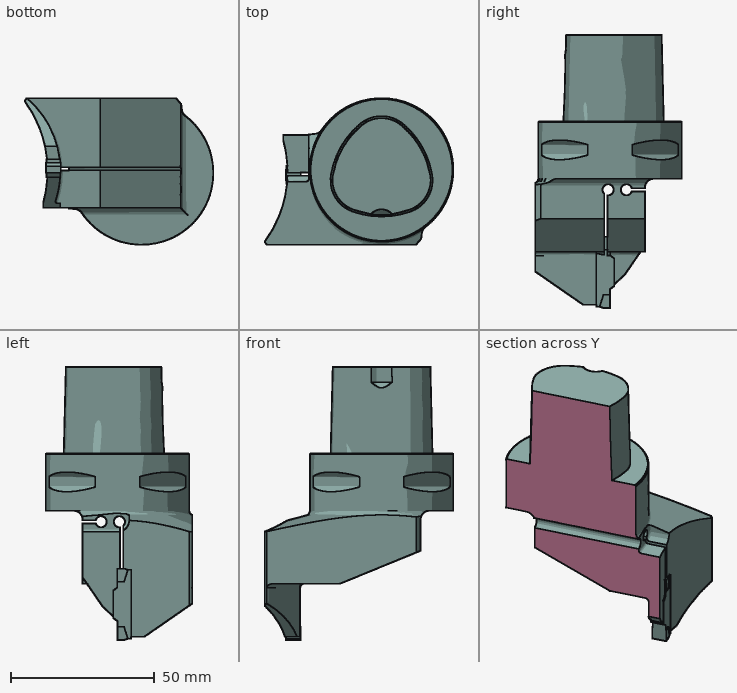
import cadquery as cq
import math


OVERALL_HEIGHT = 95

SHANK_HEIGHT = 30.0
LOBE_REACH = 18.7
FLANK_REACH = 16.2
LOBE_OFFSET = 7.1
SHANK_TAPER = 1.4

NOTCH_RADIUS = 4.75
NOTCH_Y = -18.4
NOTCH_DEPTH = 5.3

FLANGE_RADIUS = 25.0
FLANGE_HEIGHT = 20.0
FLANGE_CHAMFER = 0.4
GROOVE_Z = -10.0
GROOVE_FLOOR_DISTANCE = 22.2
GROOVE_FLOOR_HALF_WIDTH = 1.8
GROOVE_MOUTH_HALF_WIDTH = 3.4
GROOVE_CORNER_RADIUS = 0.7

BODY_FRONT_Y = -26.0
BODY_BACK_Y = 12.2
BODY_RIGHT_X = 13.6
BODY_BOTTOM_Z = -45.4
BODY_LEFT_X = -40.7
LEFT_CORNER_RUN = 0.8
LEFT_CORNER_RISE = 1.0
RIGHT_CORNER_RUN = 1.6
RIGHT_CORNER_RISE = 1.9
LOWER_SLOPE_X = -14.4
LOWER_SLOPE_END_Z = -33.9
UNDER_FLANGE_FILLET = 3.0

SHOULDER_ANGLE = math.radians(15)
SHOULDER_Z = -21.2
SHOULDER_FILLET = 1.5
SHOULDER_RADIUS = 57

CLEARANCE_Y = -0.8
OUTER_FACE_X = -32.7
OUTER_FACE_RADIUS = 40.8
OUTER_FLAT_X = -34.2
INNER_FACE_X = -28.2
INNER_FACE_RADIUS = 33.25

LEG_BOTTOM_Z = -63.8
LEG_BOTTOM_Y = -9.3
LEG_FRONT_Z = -52.25
LEG_FILLET = 1.3
JAW_TIP_Z = -56.7
JAW_BEND_Y = 5.1
JAW_BEND_Z = -53.4
JAW_CORNER_Z = -43.1

STEP_Z = -27.4
STEP_WALL_X = -25.3
STEP_WALL_FILLET = 1.0
STEP_FRONT_Y = -4.1
RELIEF_Z = -23.8
RELIEF_RADIUS = 1.9
BACK_RELIEF_Y = 5.7
FRONT_RELIEF_Y = -0.7
SLIT_WIDTH = 1.0
CLAMP_SLIT_Y = -1.4

INSERT_LENGTH = 24.9
INSERT_BOTTOM_Z = SHANK_HEIGHT - OVERALL_HEIGHT
INSERT_MID_Z = INSERT_BOTTOM_Z + INSERT_LENGTH / 2
INSERT_BASE_Y = -4.75
INSERT_LEFT_X = -33.25
INSERT_RIGHT_X = -28.0
HEAD_OVERHANG = 0.2
HEAD_LENGTH = 4.7
HEAD_DEPTH = 2.3
HEAD_TIP_DEPTH = 3.6
END_RELIEF = 0.5
RIDGE_HEIGHT = 1.5
RIDGE_HALF_LENGTH = 4.75
RIDGE_FOOT_HALF_LENGTH = 5.9

CUT_SIZE = 114
CUT_MARGIN = 0.95


def polar(radius, degrees):
    angle = math.radians(degrees)
    return (radius * math.cos(angle), radius * math.sin(angle))


def prism_along_x(points, x_start, x_end):
    """Prism with a (Y, Z) outline."""
    outline = cq.Workplane("YZ", origin=(x_start, 0, 0)).polyline(points).close()
    return outline.extrude(x_end - x_start)


def prism_along_y(points, y_start, y_end):
    """Prism with an (X, Z) outline."""
    outline = cq.Workplane("XZ", origin=(0, y_start, 0)).polyline(points).close()
    return outline.extrude(y_start - y_end)


def box_between(low, high):
    size = [b - a for a, b in zip(low, high)]
    return cq.Workplane("XY").box(*size, centered=False).translate(low)


def arc_x(apex_x, radius, y):
    """X of a groove-clearance face at the given Y."""
    return apex_x - radius + math.sqrt(radius**2 - (y - CLEARANCE_Y) ** 2)


def arc_y(apex_x, radius, x):
    """Upper Y of a groove-clearance face at the given X."""
    return CLEARANCE_Y + math.sqrt(radius**2 - (x - apex_x + radius) ** 2)



def make_shank():
    lobe_radius = LOBE_REACH - LOBE_OFFSET

    reach_gap = FLANK_REACH - lobe_radius
    flank_offset = (LOBE_OFFSET**2 - reach_gap**2) / (2 * reach_gap - LOBE_OFFSET)
    rise = LOBE_OFFSET + flank_offset * math.sin(math.radians(30))
    run = flank_offset * math.cos(math.radians(30))
    normal = math.degrees(math.atan2(rise, run))
    join_x, join_y = polar(lobe_radius, normal)
    join_y += LOBE_OFFSET
    join_radius = math.hypot(join_x, join_y)
    half_lobe = 90 - math.degrees(math.atan2(join_y, join_x))

    outline = cq.Workplane("XY").moveTo(*polar(join_radius, 90 - half_lobe))
    for lobe in (90, 210, 330):
        outline = outline.threePointArc(polar(LOBE_REACH, lobe), polar(join_radius, lobe + half_lobe))
        outline = outline.threePointArc(
            polar(FLANK_REACH, lobe + 60), polar(join_radius, lobe + 120 - half_lobe)
        )
    shank = outline.close().extrude(SHANK_HEIGHT, taper=SHANK_TAPER)
    return shank.cut(make_notch())


def make_notch():
    """Drilled hole with a 90 degree point, open to the side of the shank."""
    shoulder_z = SHANK_HEIGHT - NOTCH_DEPTH
    profile = [
        (0, SHANK_HEIGHT),
        (NOTCH_RADIUS, SHANK_HEIGHT),
        (NOTCH_RADIUS, shoulder_z),
        (0, shoulder_z - NOTCH_RADIUS),
    ]
    drill = cq.Workplane("XZ").polyline(profile).close().revolve(360, (0, 0), (0, 1))
    return drill.translate((0, NOTCH_Y, 0))



def make_flange():
    flange = cq.Workplane("XY").circle(FLANGE_RADIUS).extrude(-FLANGE_HEIGHT)
    flange = flange.faces(">Z").chamfer(FLANGE_CHAMFER)
    depth = FLANGE_RADIUS - GROOVE_FLOOR_DISTANCE
    flare = (GROOVE_MOUTH_HALF_WIDTH - GROOVE_FLOOR_HALF_WIDTH) / depth
    cut_end = FLANGE_RADIUS + CUT_MARGIN
    cut_half_width = GROOVE_FLOOR_HALF_WIDTH + flare * (cut_end - GROOVE_FLOOR_DISTANCE)
    section = [
        (GROOVE_FLOOR_DISTANCE, GROOVE_Z - GROOVE_FLOOR_HALF_WIDTH),
        (cut_end, GROOVE_Z - cut_half_width),
        (cut_end, GROOVE_Z + cut_half_width),
        (GROOVE_FLOOR_DISTANCE, GROOVE_Z + GROOVE_FLOOR_HALF_WIDTH),
    ]
    groove = prism_along_y(section, -FLANGE_RADIUS, FLANGE_RADIUS)
    groove = groove.faces("<X").edges("|Y").fillet(GROOVE_CORNER_RADIUS)
    for turn in (45, 135, 225, 315):
        flange = flange.cut(groove.rotate((0, 0, 0), (0, 0, 1), turn))
    return flange



def make_shoulder():
    """Everything below the fillet and cone that run out from the flange."""
    tangent = SHOULDER_FILLET * math.tan((math.pi / 2 - SHOULDER_ANGLE) / 2)
    start = (FLANGE_RADIUS, SHOULDER_Z + tangent)
    end = (
        FLANGE_RADIUS + tangent * math.cos(SHOULDER_ANGLE),
        SHOULDER_Z - tangent * math.sin(SHOULDER_ANGLE),
    )
    sweep = math.pi + (math.pi / 2 - SHOULDER_ANGLE) / 2
    centre = (FLANGE_RADIUS + SHOULDER_FILLET, start[1])
    middle = (
        centre[0] + SHOULDER_FILLET * math.cos(sweep),
        centre[1] + SHOULDER_FILLET * math.sin(sweep),
    )
    cone_drop = (SHOULDER_RADIUS - FLANGE_RADIUS) * math.tan(SHOULDER_ANGLE)
    profile = (
        cq.Workplane("XZ")
        .moveTo(0, -FLANGE_HEIGHT)
        .lineTo(FLANGE_RADIUS, -FLANGE_HEIGHT)
        .lineTo(*start)
        .threePointArc(middle, end)
        .lineTo(SHOULDER_RADIUS, SHOULDER_Z - cone_drop)
        .lineTo(SHOULDER_RADIUS, LEG_BOTTOM_Z)
        .lineTo(0, LEG_BOTTOM_Z)
        .close()
    )
    return profile.revolve(360, (0, 0), (0, 1))


def make_plan_prism():
    """Outline of the body seen along Z, over its full height."""
    corner_y = arc_y(OUTER_FACE_X, OUTER_FACE_RADIUS, OUTER_FLAT_X)
    arc_start_y = BODY_FRONT_Y + LEFT_CORNER_RISE
    outline = (
        cq.Workplane("XY")
        .moveTo(arc_x(OUTER_FACE_X, OUTER_FACE_RADIUS, arc_start_y), arc_start_y)
        .threePointArc((OUTER_FACE_X, CLEARANCE_Y), (OUTER_FLAT_X, corner_y))
        .lineTo(OUTER_FLAT_X, BODY_BACK_Y)
        .lineTo(BODY_RIGHT_X, BODY_BACK_Y)
        .lineTo(BODY_RIGHT_X, BODY_FRONT_Y + RIGHT_CORNER_RISE)
        .lineTo(BODY_RIGHT_X - RIGHT_CORNER_RUN, BODY_FRONT_Y)
        .lineTo(BODY_LEFT_X + LEFT_CORNER_RUN, BODY_FRONT_Y)
        .close()
    )
    return outline.extrude(LEG_BOTTOM_Z)


def make_body():
    side = [
        (-SHOULDER_RADIUS, -FLANGE_HEIGHT),
        (-SHOULDER_RADIUS, BODY_BOTTOM_Z),
        (LOWER_SLOPE_X, BODY_BOTTOM_Z),
        (BODY_RIGHT_X, LOWER_SLOPE_END_Z),
        (BODY_RIGHT_X, -FLANGE_HEIGHT),
    ]
    block = prism_along_y(side, -CUT_SIZE, CUT_SIZE).intersect(make_plan_prism())
    plate = box_between((-CUT_SIZE, -CUT_SIZE, -FLANGE_HEIGHT), (CUT_SIZE, CUT_SIZE, 0))
    block = block.union(plate)
    for wall in ((BODY_RIGHT_X, 0, -FLANGE_HEIGHT), (0, BODY_BACK_Y, -FLANGE_HEIGHT)):
        block = block.edges(cq.NearestToPointSelector(wall)).fillet(UNDER_FLANGE_FILLET)
    return block.intersect(make_shoulder())


def jaw_underside_y(z):
    """Y of the jaw's sloping underside at the given height."""
    slope = (BODY_BACK_Y - JAW_BEND_Y) / (JAW_CORNER_Z - JAW_BEND_Z)
    return JAW_BEND_Y + slope * (z - JAW_BEND_Z)


def make_leg():
    """Blade between the two clearance faces, trimmed to its side outline."""
    side = [
        (BODY_FRONT_Y, BODY_BOTTOM_Z),
        (BODY_FRONT_Y, LEG_FRONT_Z),
        (LEG_BOTTOM_Y, LEG_BOTTOM_Z),
        (INSERT_BASE_Y, LEG_BOTTOM_Z),
        (INSERT_BASE_Y, JAW_TIP_Z),
        (RIDGE_HEIGHT, JAW_TIP_Z),
        (JAW_BEND_Y, JAW_BEND_Z),
        (jaw_underside_y(BODY_BOTTOM_Z), BODY_BOTTOM_Z),
    ]
    inner = (
        cq.Workplane("XY", origin=(INNER_FACE_X - INNER_FACE_RADIUS, CLEARANCE_Y, 0))
        .circle(INNER_FACE_RADIUS)
        .extrude(LEG_BOTTOM_Z)
    )
    blade = prism_along_x(side, -SHOULDER_RADIUS, BODY_RIGHT_X)
    return blade.intersect(make_plan_prism()).intersect(inner)


def add_leg(base):
    holder = base.union(make_leg())
    root = cq.NearestToPointSelector((INNER_FACE_X, CLEARANCE_Y, BODY_BOTTOM_Z))
    return holder.edges("%CIRCLE").edges(root).fillet(LEG_FILLET)


def cut_jaw_corner(holder):
    """Carry the jaw's sloping underside on up to its back face."""
    corner = [
        (BODY_BACK_Y, JAW_CORNER_Z),
        (BODY_BACK_Y, BODY_BOTTOM_Z),
        (jaw_underside_y(BODY_BOTTOM_Z), BODY_BOTTOM_Z),
    ]
    return holder.cut(prism_along_x(corner, OUTER_FLAT_X, INNER_FACE_X))


def cut_step(holder):
    """Step above the jaw; the rounding up to its front wall starts at Y = 0."""
    step = box_between(
        (-SHOULDER_RADIUS, STEP_FRONT_Y, STEP_Z), (STEP_WALL_X, CUT_SIZE, -FLANGE_HEIGHT)
    )
    step = step.edges("<Y and <Z").fillet(-STEP_FRONT_Y)
    step = step.edges(">X and <Z").fillet(STEP_WALL_FILLET)
    return holder.cut(step)


def cut_slits(holder):
    """Relief holes and slits that free the clamping jaw; both run through along X."""
    holes = (
        cq.Workplane("YZ", origin=(-CUT_SIZE, 0, 0))
        .pushPoints([(BACK_RELIEF_Y, RELIEF_Z), (FRONT_RELIEF_Y, RELIEF_Z)])
        .circle(RELIEF_RADIUS)
        .extrude(2 * CUT_SIZE)
    )
    half = SLIT_WIDTH / 2
    back_slit = box_between(
        (-CUT_SIZE, BACK_RELIEF_Y, RELIEF_Z - half), (CUT_SIZE, CUT_SIZE, RELIEF_Z + half)
    )
    clamp_slit = box_between(
        (-CUT_SIZE, CLAMP_SLIT_Y - half, -CUT_SIZE), (CUT_SIZE, CLAMP_SLIT_Y + half, RELIEF_Z)
    )
    return holder.cut(holes).cut(back_slit).cut(clamp_slit)



def make_insert():
    """Double-ended insert, alike above and below its middle."""
    shank_half = INSERT_LENGTH / 2 - END_RELIEF
    upper_side = [
        (INSERT_BASE_Y, shank_half),
        (0, shank_half),
        (0, RIDGE_FOOT_HALF_LENGTH),
        (RIDGE_HEIGHT, RIDGE_HALF_LENGTH),
    ]
    lower_side = [(y, -z) for y, z in reversed(upper_side)]
    insert = prism_along_x(
        upper_side + lower_side, INSERT_LEFT_X + HEAD_OVERHANG, INSERT_RIGHT_X - HEAD_OVERHANG
    )
    head_side = [
        (0, INSERT_LENGTH / 2),
        (-HEAD_DEPTH, INSERT_LENGTH / 2),
        (-HEAD_TIP_DEPTH, shank_half),
        (-HEAD_DEPTH, INSERT_LENGTH / 2 - HEAD_LENGTH),
        (0, INSERT_LENGTH / 2 - HEAD_LENGTH),
    ]
    for end in (1, -1):
        side = [(y, end * z) for y, z in head_side]
        insert = insert.union(prism_along_x(side, INSERT_LEFT_X, INSERT_RIGHT_X))
    return insert.translate((0, 0, INSERT_MID_Z))


insert = make_insert()

base = make_flange().union(make_body())
holder = add_leg(base).union(make_shank())
holder = cut_jaw_corner(cut_step(holder))
holder = cut_slits(holder).cut(insert)

result = cq.Compound.makeCompound([holder.val(), insert.val()])